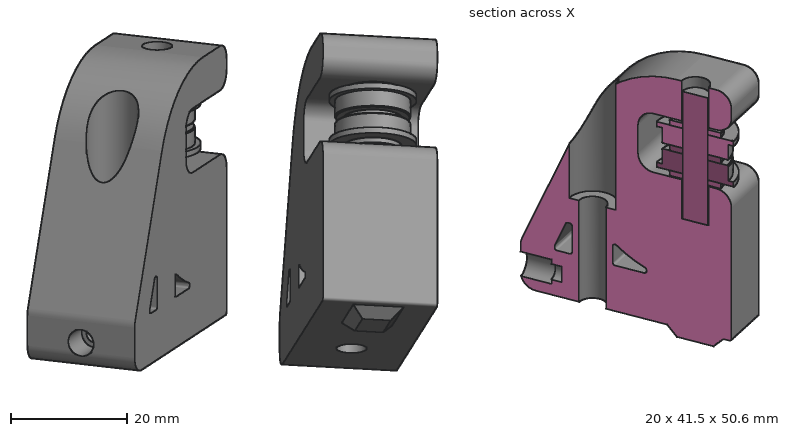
import cadquery as cq
import math


WIDTH = 20.0
BODY_HEIGHT = 48.7
BACK_Y = 7.1
BODY_DEPTH = 41.1
FRONT_Y = BACK_Y - BODY_DEPTH
FRONT_FACE_TOP = 9.0
CROWN_RADIUS = 20.0
CROWN_START_Y = -3.55
EDGE_RADIUS = 3.0
HEEL_RADIUS = 0.5

SLOT_BOTTOM = 29.3
SLOT_HEIGHT = 11.45
SLOT_TOP = SLOT_BOTTOM + SLOT_HEIGHT
SLOT_END_Y = -11.1

FOOT_HEIGHT = 50.6 - BODY_HEIGHT
FOOT_WIDTH = 8.8
FOOT_LENGTH = 11.0
FOOT_TAPER = 45.0

SCREW_Y = -20.0
SCREW_HOLE_DIAMETER = 5.2
SCREW_HEAD_DIAMETER = 9.0
SCREW_HEAD_SEAT_Z = 20.0

FRONT_HOLE_Z = 4.55
FRONT_HOLE_DIAMETER = 4.7
FRONT_HOLE_DEPTH = 6.0
PILOT_DIAMETER = 3.0
PILOT_DEPTH = 2.0

WINDOW_BOTTOM = 9.05
WINDOW_SPACING = 8.0
WINDOW_RADIUS = 0.4
REAR_WINDOW_LENGTH = 6.5
REAR_WINDOW_LOW_HEIGHT = 0.9
REAR_WINDOW_HIGH_HEIGHT = 4.45
REAR_WINDOW_SAG = 0.3
FRONT_WINDOW_LENGTH = 3.3
FRONT_WINDOW_LOW_HEIGHT = 0.8
FRONT_WINDOW_HEIGHT = 5.9

PIN_DIAMETER = 5.0
PIN_LENGTH = 25.0
PIN_HOLE_DIAMETER = 5.2
PIN_RECESS = 2.0
PIN_TOP = BODY_HEIGHT - PIN_RECESS
PIN_BOTTOM = PIN_TOP - PIN_LENGTH

BEARING_DIAMETER = 13.0
BEARING_HEIGHT = 4.0
BEARING_CHAMFER = 0.2
FLANGE_DIAMETER = 15.0
FLANGE_THICKNESS = 1.0
SHIM_DIAMETER = 10.0
SHIM_THICKNESS = 1.0
SHIM_COUNT = 3
SHIM_CHAMFER = 0.1
STACK_PITCH = SHIM_THICKNESS + BEARING_HEIGHT
STACK_HEIGHT = (SHIM_COUNT - 1) * STACK_PITCH + SHIM_THICKNESS
STACK_CLEARANCE = 0.1
STACK_BOTTOM = SLOT_BOTTOM + STACK_CLEARANCE
STACK_MIDDLE = STACK_BOTTOM + STACK_HEIGHT / 2

CROWN_CENTER_Z = BODY_HEIGHT - CROWN_RADIUS
CORNER_RUN = CROWN_START_Y - FRONT_Y
CORNER_DROP = CROWN_CENTER_Z - FRONT_FACE_TOP
CORNER_DISTANCE = math.hypot(CORNER_RUN, CORNER_DROP)
SLOPE_ANGLE = math.acos(CROWN_RADIUS / CORNER_DISTANCE) - math.atan2(CORNER_DROP, CORNER_RUN)


def crown_point(angle):
    """Point (y, z) on the crown arc at an angle above the forward horizontal."""
    return (
        CROWN_START_Y - CROWN_RADIUS * math.cos(angle),
        CROWN_CENTER_Z + CROWN_RADIUS * math.sin(angle),
    )


def fillet_cross_edges(body, corners, radius):
    """Round the edges along X that pass through the given (y, z) corners."""
    for y, z in corners:
        body = body.edges(cq.selectors.NearestToPointSelector((0, y, z))).fillet(radius)
    return body


def make_block():
    """Housing side profile across the full width, with its rounded edges."""
    block = (
        cq.Workplane("YZ")
        .moveTo(BACK_Y, 0)
        .lineTo(BACK_Y, SLOT_BOTTOM)
        .lineTo(SLOT_END_Y, SLOT_BOTTOM)
        .lineTo(SLOT_END_Y, SLOT_TOP)
        .lineTo(BACK_Y, SLOT_TOP)
        .lineTo(BACK_Y, BODY_HEIGHT)
        .lineTo(CROWN_START_Y, BODY_HEIGHT)
        .threePointArc(crown_point((SLOPE_ANGLE + math.pi / 2) / 2), crown_point(SLOPE_ANGLE))
        .lineTo(FRONT_Y, FRONT_FACE_TOP)
        .lineTo(FRONT_Y, 0)
        .close()
        .extrude(WIDTH / 2, both=True)
    )
    rounded_corners = [
        (BACK_Y, SLOT_BOTTOM),
        (SLOT_END_Y, SLOT_BOTTOM),
        (SLOT_END_Y, SLOT_TOP),
        (BACK_Y, SLOT_TOP),
        (BACK_Y, BODY_HEIGHT),
        (FRONT_Y, FRONT_FACE_TOP),
        (FRONT_Y, 0),
    ]
    block = fillet_cross_edges(block, rounded_corners, EDGE_RADIUS)
    return fillet_cross_edges(block, [(BACK_Y, 0)], HEEL_RADIUS)


def make_foot():
    return cq.Workplane("XY").rect(FOOT_WIDTH, FOOT_LENGTH).extrude(-FOOT_HEIGHT, taper=FOOT_TAPER)


def make_rear_window():
    """Window behind the screw bore; its upper edge is a shallow sagging arc."""
    tall_y = SCREW_Y + WINDOW_SPACING / 2
    low_y = tall_y + REAR_WINDOW_LENGTH
    low_z = WINDOW_BOTTOM + REAR_WINDOW_LOW_HEIGHT
    high_z = WINDOW_BOTTOM + REAR_WINDOW_HIGH_HEIGHT
    return (
        cq.Workplane("YZ")
        .moveTo(low_y, WINDOW_BOTTOM)
        .lineTo(low_y, low_z)
        .sagittaArc((tall_y, high_z), REAR_WINDOW_SAG)
        .lineTo(tall_y, WINDOW_BOTTOM)
        .close()
        .extrude(WIDTH / 2, both=True)
        .edges("|X")
        .fillet(WINDOW_RADIUS)
    )


def make_front_window():
    """Window ahead of the screw bore; one edge is parallel to the sloped face."""
    tall_y = SCREW_Y - WINDOW_SPACING / 2
    low_y = tall_y - FRONT_WINDOW_LENGTH
    low_z = WINDOW_BOTTOM + FRONT_WINDOW_LOW_HEIGHT
    top_z = WINDOW_BOTTOM + FRONT_WINDOW_HEIGHT
    slope_top_y = low_y + (top_z - low_z) * math.tan(SLOPE_ANGLE)
    return (
        cq.Workplane("YZ")
        .polyline([
            (tall_y, WINDOW_BOTTOM),
            (tall_y, top_z),
            (slope_top_y, top_z),
            (low_y, low_z),
            (low_y, WINDOW_BOTTOM),
        ])
        .close()
        .extrude(WIDTH / 2, both=True)
        .edges("|X")
        .fillet(WINDOW_RADIUS)
    )


def vertical_cylinder(diameter, y, bottom, top):
    return cq.Workplane("XY", origin=(0, y, bottom)).circle(diameter / 2).extrude(top - bottom)


def make_screw_bore():
    hole = vertical_cylinder(SCREW_HOLE_DIAMETER, SCREW_Y, 0, SCREW_HEAD_SEAT_Z)
    head = vertical_cylinder(SCREW_HEAD_DIAMETER, SCREW_Y, SCREW_HEAD_SEAT_Z, BODY_HEIGHT)
    return hole.union(head)


def make_front_hole():
    mouth = cq.Workplane("XZ", origin=(0, FRONT_Y, FRONT_HOLE_Z))
    hole = mouth.circle(FRONT_HOLE_DIAMETER / 2).extrude(-FRONT_HOLE_DEPTH)
    pilot = mouth.circle(PILOT_DIAMETER / 2).extrude(-(FRONT_HOLE_DEPTH + PILOT_DEPTH))
    return hole.union(pilot)


def make_housing():
    return (
        make_block()
        .union(make_foot())
        .cut(make_rear_window())
        .cut(make_front_window())
        .cut(make_screw_bore())
        .cut(make_front_hole())
        .cut(vertical_cylinder(PIN_HOLE_DIAMETER, 0, PIN_BOTTOM, BODY_HEIGHT))
    )


def make_pin():
    return vertical_cylinder(PIN_DIAMETER, 0, PIN_BOTTOM, PIN_TOP)


def make_bearing():
    """Flanged bearing standing on its flange at Z = 0."""
    bearing = vertical_cylinder(BEARING_DIAMETER, 0, 0, BEARING_HEIGHT)
    bearing = bearing.faces(">Z").edges().chamfer(BEARING_CHAMFER)
    bearing = bearing.union(vertical_cylinder(FLANGE_DIAMETER, 0, 0, FLANGE_THICKNESS))
    return bearing.cut(vertical_cylinder(PIN_DIAMETER, 0, 0, BEARING_HEIGHT))


def make_shim(bottom):
    shim = vertical_cylinder(SHIM_DIAMETER, 0, bottom, bottom + SHIM_THICKNESS)
    shim = shim.faces("|Z").edges().chamfer(SHIM_CHAMFER)
    return shim.cut(vertical_cylinder(PIN_DIAMETER, 0, bottom, bottom + SHIM_THICKNESS))


housing = make_housing()
pin = make_pin()

shims = [make_shim(STACK_BOTTOM + i * STACK_PITCH) for i in range(SHIM_COUNT)]

lower_bearing = make_bearing().translate((0, 0, STACK_BOTTOM + SHIM_THICKNESS))
upper_bearing = lower_bearing.mirror("XY", (0, 0, STACK_MIDDLE))
bearings = [lower_bearing, upper_bearing]

result = cq.Compound.makeCompound(
    [housing.val(), pin.val()] + [body.val() for body in bearings + shims]
)